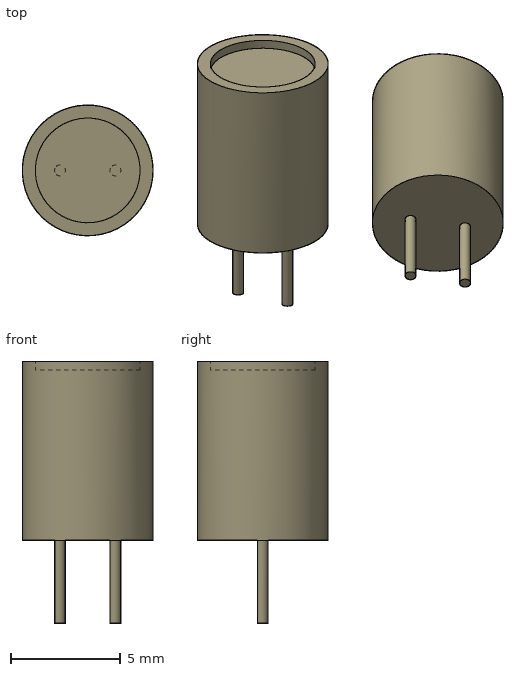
import cadquery as cq

total_height = 12.0
body_diameter = 6.0
body_height = 8.2
recess_diameter = 4.8
recess_depth = 0.4
pin_diameter = 0.5
pin_spacing = 2.54
pin_length = total_height - body_height


def make_body():
    """Upright cylinder standing on the XY plane, with a shallow round recess in its top face."""
    body = cq.Workplane("XY").circle(body_diameter / 2).extrude(body_height)
    return body.faces(">Z").workplane().circle(recess_diameter / 2).cutBlind(-recess_depth)


def make_pins():
    """Two round leads side by side along X, hanging below the body."""
    pin_centres = [(-pin_spacing / 2, 0), (pin_spacing / 2, 0)]
    return cq.Workplane("XY").pushPoints(pin_centres).circle(pin_diameter / 2).extrude(-pin_length)


result = make_body().union(make_pins())